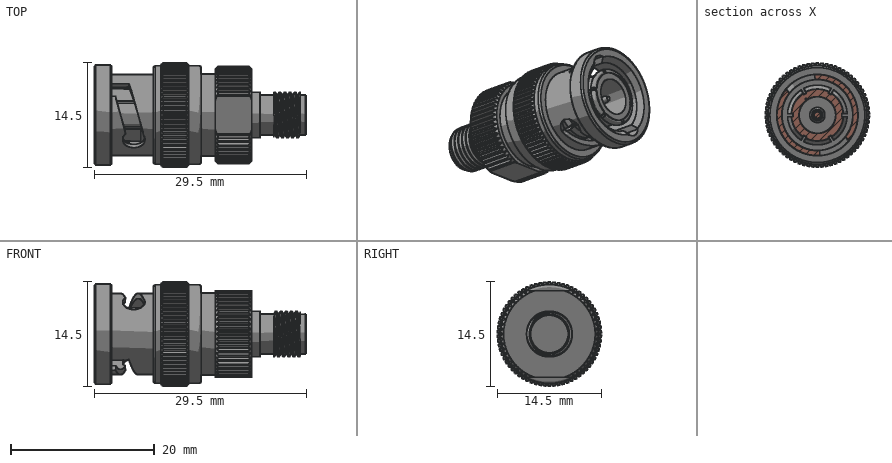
import cadquery as cq
import math

length = 29.45

overlap = 0.05
cut_margin = 0.3

flange_end = 2.45
collar_start = 8.15
knurl_start = 9.2
knurl_end = 13.15
collar_end = 14.85
nut_start = 16.82
nut_end = 21.85
ring_end = 23.07
thread_start = 24.9
thread_end = 28.6

flange_dia = 13.95
barrel_dia = 11.3
collar_dia = 13.73
knurl_dia = 14.5
neck_dia = 11.43
nut_dia = 13.6
ring_dia = 6.35
jack_dia = 5.57

flange_front_chamfer = 0.2
flange_face_dia = 13.37
flange_back_chamfer = 0.27
collar_chamfer = 0.27
collar_fillet = 0.35
knurl_chamfer = 0.35
nut_chamfer = 0.45
jack_chamfer = 0.18
ring_chamfer = 0.1

knurl_teeth = 70
nut_teeth = 60
knurl_depth = 0.35
nut_depth = 0.35
tooth_half_land = 0.133
nut_flats = 12.02

socket_dia = 9.85
socket_depth = collar_start
mouth_depth = 0.7
slot_floor_radius = socket_dia / 2 - cut_margin

channel_angle = 39.0
channel_width = 2.2
channel_top_radius = 6.13
slot_width = 2.45
slot_entry_end = 4.8
slot_lead = 9.2
detent_angle = -37.5
detent_dia = 3.05
detent_center = 5.48

contact_front = 0.45
insulator_front = 0.53
contact_dia = 7.25
bead_dia = 8.07
contact_root_dia = 8.3
contact_cone_start = 6.42
contact_cone_end = 6.98
insulator_dia = 6.83
insulator_bore = 5.07
finger_count = 6
finger_gap = 0.4
pin_tip = 1.47
pin_tip_dia = 0.6
pin_taper = 0.6
pin_dia = 0.95
pin_step_dia = 1.2
pin_shank_dia = 1.33
pin_collar_dia = 1.53
pin_base_dia = 2.12
pin_step = 5.0
pin_collar = 7.36

thread_dia = 6.35
thread_pitch = 0.7
thread_crest = 0.15
thread_base = 0.65
thread_top_crest = 25.25
thread_turns = 8
lead_in_turns = 2


def cylinder(start, end, diameter):
    """Cylinder on the axis between two stations."""
    return cq.Workplane("YZ", origin=(start, 0, 0)).circle(diameter / 2).extrude(end - start)


def turn(body, angle):
    """Turn a body standing on +Z about X, toward +Y."""
    return body.rotate((0, 0, 0), (1, 0, 0), -angle)


def revolve(points):
    """Revolve a closed (x, radius) outline about the axis."""
    return cq.Workplane("XY").polyline(points).close().revolve(360, (0, 0, 0), (1, 0, 0))


def knurled_ring(start, end, diameter, depth, teeth, chamfer, top_is_groove=False):
    """Chamfered ring with V grooves along its whole length; a tooth or a groove lies at +Z."""
    half_pitch = math.pi / teeth
    first = half_pitch if top_is_groove else 0
    tip = diameter / 2
    half_land = tooth_half_land / tip
    outline = []
    for tooth in range(teeth):
        center = first + 2 * half_pitch * tooth
        root_angle = center + half_pitch
        corners = ((tip, center - half_land), (tip, center + half_land), (tip - depth, root_angle))
        for radius, angle in corners:
            outline.append((radius * math.sin(angle), radius * math.cos(angle)))
    toothed = cq.Workplane("YZ", origin=(start, 0, 0)).polyline(outline).close().extrude(end - start)
    blank = cylinder(start, end, diameter).edges().chamfer(chamfer)
    return toothed.intersect(blank)


def coupling_sleeve():
    """Flange, barrel and knurled collar of the bayonet sleeve."""
    front_margin = (flange_dia - flange_face_dia) / 2
    flange = cylinder(0, flange_end, flange_dia)
    flange = flange.faces("<X").chamfer(flange_front_chamfer, front_margin)
    flange = flange.faces(">X").chamfer(flange_back_chamfer)
    barrel = cylinder(0, collar_end, barrel_dia)
    collar = cylinder(collar_start, collar_end, collar_dia)
    collar = collar.faces("<X").chamfer(collar_chamfer).faces(">X").edges().fillet(collar_fillet)
    knurl = knurled_ring(knurl_start, knurl_end, knurl_dia, knurl_depth, knurl_teeth, knurl_chamfer)
    return flange.union(barrel).union(collar).union(knurl)


def socket():
    """Socket bore with a conical mouth."""
    return revolve([
        (0, 0), (0, barrel_dia / 2), (mouth_depth, socket_dia / 2),
        (socket_depth, socket_dia / 2), (socket_depth, 0),
    ])


def slot_channel():
    """Straight-walled axial entry of a slot, with an arched roof inside the flange."""
    half = channel_width / 2
    wall_top = barrel_dia / 2
    channel = (
        cq.Workplane("YZ")
        .moveTo(-half, slot_floor_radius)
        .lineTo(half, slot_floor_radius)
        .lineTo(half, wall_top)
        .threePointArc((0, channel_top_radius), (-half, wall_top))
        .close()
        .extrude(slot_entry_end)
    )
    return turn(channel, channel_angle)


def helix_sweep(section, pitch, height):
    """Sweep an (x, radius) section, drawn above the axis, along a right-hand helix about +X."""
    path = cq.Wire.makeHelix(pitch, height, 0.3)
    profile = cq.Workplane("XZ").polyline([(radius, x) for x, radius in section]).close()
    body = profile.sweep(cq.Workplane(path), isFrenet=True)
    return body.rotate((0, 0, 0), (0, 1, 0), 90).rotate((0, 0, 0), (1, 0, 0), 180)


def slot_ramp():
    """Helical part of a slot, from the channel to the detent."""
    outer = barrel_dia / 2 + cut_margin
    half = slot_width / 2
    half_entry = math.degrees(math.asin(channel_width / barrel_dia))
    start_angle = channel_angle + half_entry
    rise = slot_lead * (start_angle - detent_angle) / 360
    section = [(-half, slot_floor_radius), (half, slot_floor_radius), (half, outer), (-half, outer)]
    ramp = helix_sweep(section, slot_lead, rise)
    start = slot_entry_end - half
    return turn(ramp, start_angle).translate((start, 0, 0))


def slot_detent():
    """Radial hole at the far end of a slot."""
    hole = cq.Workplane("XY").center(detent_center, 0).circle(detent_dia / 2).extrude(barrel_dia)
    return turn(hole, detent_angle)


def inner_contact():
    """Slit spring contact with a rounded bead, around the bored insulator."""
    bead_radius = (bead_dia - contact_dia) / 2
    bead_middle = contact_front + bead_radius
    recess = cylinder(0, insulator_front, insulator_dia)
    tube = (
        cq.Workplane("XY")
        .moveTo(contact_front, 0)
        .lineTo(contact_front, contact_dia / 2)
        .threePointArc((bead_middle, bead_dia / 2), (bead_middle + bead_radius, contact_dia / 2))
        .lineTo(contact_cone_start, contact_dia / 2)
        .lineTo(contact_cone_end, contact_root_dia / 2)
        .lineTo(socket_depth + overlap, contact_root_dia / 2)
        .lineTo(socket_depth + overlap, 0)
        .close()
        .revolve(360, (0, 0, 0), (1, 0, 0))
    )
    gap = cq.Workplane("XY").box(
        socket_depth, finger_gap, contact_root_dia, centered=(False, True, False)
    )
    for finger in range(finger_count):
        tube = tube.cut(turn(gap, 90 + 360 / finger_count * finger))
    insulator = cylinder(insulator_front, socket_depth + overlap, insulator_dia)
    return tube.cut(recess).union(insulator).cut(cylinder(0, socket_depth, insulator_bore))


def pin():
    """Stepped center pin, widening to its base at the insulator floor."""
    front = cylinder(pin_tip, pin_collar, pin_dia)
    front = front.faces("<X").chamfer(pin_taper, (pin_dia - pin_tip_dia) / 2)
    floor = socket_depth + overlap
    shank = revolve([
        (pin_step, 0), (pin_step, pin_step_dia / 2), (pin_collar, pin_shank_dia / 2),
        (pin_collar, pin_collar_dia / 2), (socket_depth, pin_base_dia / 2),
        (floor, pin_base_dia / 2), (floor, 0),
    ])
    return front.union(shank)


def nut():
    """Knurled nut with two wrench flats facing +Z and -Z."""
    body = knurled_ring(nut_start, nut_end, nut_dia, nut_depth, nut_teeth, nut_chamfer, top_is_groove=True)
    flats = cq.Workplane("XY").box(nut_end - nut_start, nut_dia, nut_flats, centered=(False, True, True))
    return body.intersect(flats.translate((nut_start, 0, 0)))


def thread():
    """Right-hand thread ridge, trimmed square at both ends."""
    root = jack_dia / 2 - overlap
    crest = thread_dia / 2
    section = [
        (-thread_base / 2, root), (thread_base / 2, root),
        (thread_crest / 2, crest), (-thread_crest / 2, crest),
    ]
    lead_in = thread_top_crest - lead_in_turns * thread_pitch
    ridge = helix_sweep(section, thread_pitch, thread_turns * thread_pitch).translate((lead_in, 0, 0))
    return ridge.intersect(cylinder(thread_start, thread_end, thread_dia + cut_margin))


def jack():
    """Shoulder ring and threaded barrel at the +X end."""
    ring = cylinder(nut_end, ring_end, ring_dia).faces(">X").chamfer(ring_chamfer)
    barrel = cylinder(nut_end, length, jack_dia).faces(">X").chamfer(jack_chamfer)
    return ring.union(barrel).union(thread())


sleeve = coupling_sleeve().cut(socket())
slot_cutters = [slot_channel(), slot_ramp(), slot_detent()]
for side in (0, 180):
    for cutter in slot_cutters:
        sleeve = sleeve.cut(turn(cutter, side))

neck = cylinder(collar_end, nut_start, neck_dia)
result = sleeve
for component in (inner_contact(), pin(), neck, nut(), jack()):
    result = result.union(component)